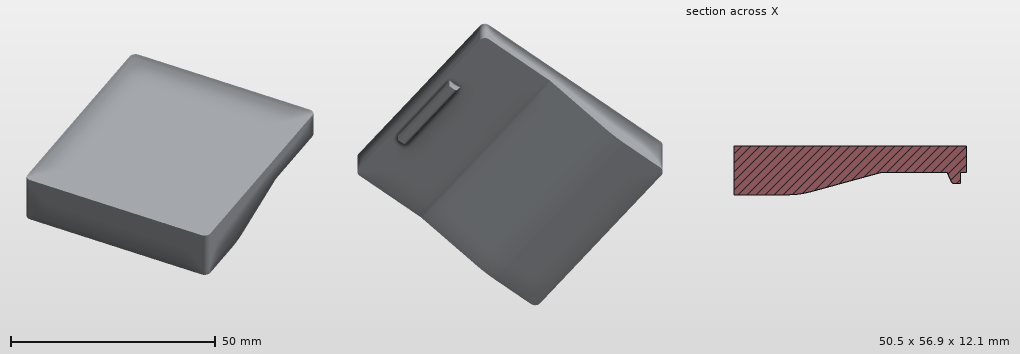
import cadquery as cq
import math

width = 50.53
length = 56.88
height = 12.11
corner_radius = 1.6

thin_height = 6.6
thin_length = 20.8
ramp_angle = 15.3
ramp_blend_radius = 22.0

tab_width = 20.0
tab_inset = 1.4
tab_drop = 2.75
tab_root_length = 3.4
tab_tip_length = 2.15
tab_tip_radius = 0.9

top_z = height / 2
bottom_z = -height / 2
front_y = -length / 2
back_y = length / 2
thin_bottom_z = top_z - thin_height


def extrude_across(points, span):
    """Extrude a closed (Y, Z) outline along X, centred on X = 0."""
    return cq.Workplane("YZ").polyline(points).close().extrude(span / 2, both=True)


def make_body():
    ramp_start_y = back_y - thin_length
    ramp_length = (thin_bottom_z - bottom_z) / math.tan(math.radians(ramp_angle))
    ramp_end_y = ramp_start_y - ramp_length
    body = extrude_across(
        [
            (front_y, bottom_z),
            (ramp_end_y, bottom_z),
            (ramp_start_y, thin_bottom_z),
            (back_y, thin_bottom_z),
            (back_y, top_z),
            (front_y, top_z),
        ],
        width,
    )
    ramp_foot = cq.selectors.NearestToPointSelector((0, ramp_end_y, bottom_z))
    body = body.edges("|X").edges(ramp_foot).fillet(ramp_blend_radius)
    return body.edges("|Z").fillet(corner_radius)


def make_tab():
    tab_back_y = back_y - tab_inset
    tip_z = thin_bottom_z - tab_drop
    tip_front_y = tab_back_y - tab_tip_length
    tab = extrude_across(
        [
            (tab_back_y, thin_bottom_z),
            (tab_back_y, tip_z),
            (tip_front_y, tip_z),
            (tab_back_y - tab_root_length, thin_bottom_z),
        ],
        tab_width,
    )
    tip_edge = cq.selectors.NearestToPointSelector((0, tip_front_y, tip_z))
    return tab.edges("|X").edges(tip_edge).fillet(tab_tip_radius)


result = make_body().union(make_tab())